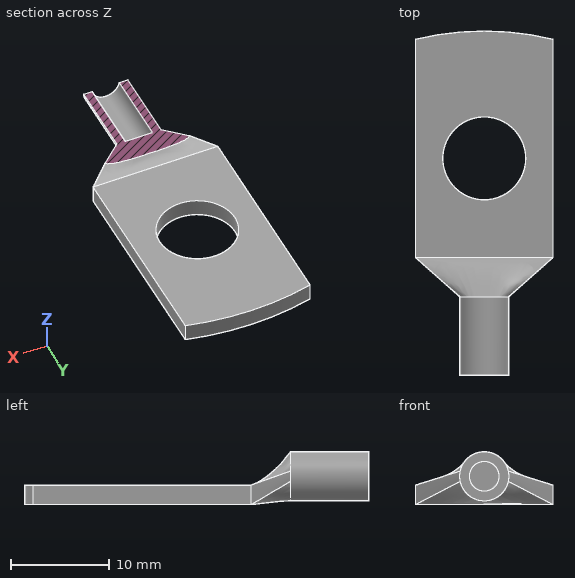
import cadquery as cq
import math

total_length = 35.0
width = 14.0
thickness = 2.0
total_height = 5.4
barrel_diameter = 5.0
bore_diameter = 3.0
barrel_length = 7.98
transition_length = 4.0
stud_hole_diameter = 8.4
stud_hole_from_barrel_end = 22.05
end_crown = 0.85
side_band_half_height = 0.52

points_per_side = 13
transition_steps = 4

barrel_radius = barrel_diameter / 2
barrel_axis_z = total_height - barrel_radius
barrel_end_y = -total_length / 2
barrel_root_y = barrel_end_y + barrel_length
plate_start_y = barrel_root_y + transition_length
plate_tip_y = total_length / 2
half_width = width / 2
stud_hole_y = barrel_end_y + stud_hole_from_barrel_end


def make_plate():
    """Flat tongue with a crowned tip and a stud hole."""
    shoulder_y = plate_tip_y - end_crown
    tongue = (
        cq.Workplane("XY")
        .moveTo(-half_width, plate_start_y)
        .lineTo(half_width, plate_start_y)
        .lineTo(half_width, shoulder_y)
        .threePointArc((0, plate_tip_y), (-half_width, shoulder_y))
        .close()
        .extrude(thickness)
    )
    hole = cq.Workplane("XY").center(0, stud_hole_y).circle(stud_hole_diameter / 2).extrude(thickness)
    return tongue.cut(hole)


def make_barrel():
    """Solid round barrel before boring."""
    return (
        cq.Workplane("XZ", origin=(0, barrel_end_y, barrel_axis_z))
        .circle(barrel_radius)
        .extrude(-barrel_length)
    )


def transition_outline(progress):
    """Closed cross-section of the transition; progress runs from 0 at the plate to 1 at the barrel."""
    y = plate_start_y - progress * transition_length
    band_angle = math.asin(side_band_half_height / barrel_radius)
    right, left = half_width, -half_width
    top_growth = progress**2
    sides = [
        ((right, thickness), (left, thickness), band_angle, math.pi - band_angle, top_growth),
        ((left, thickness), (left, 0), math.pi - band_angle, math.pi + band_angle, progress),
        ((left, 0), (right, 0), math.pi + band_angle, 2 * math.pi - band_angle, progress),
        ((right, 0), (right, thickness), -band_angle, band_angle, progress),
    ]
    edges = []
    for start, end, start_angle, end_angle, growth in sides:
        start_rim_z = barrel_axis_z + barrel_radius * math.sin(start_angle)
        points = []
        for i in range(points_per_side):
            along = i / (points_per_side - 1)
            angle = start_angle + along * (end_angle - start_angle)
            plate_x = start[0] + along * (end[0] - start[0])
            plate_z = start[1] + along * (end[1] - start[1])
            rim_x = barrel_radius * math.cos(angle)
            rim_z = barrel_axis_z + barrel_radius * math.sin(angle)
            x = plate_x + progress * (rim_x - plate_x)
            z = plate_z + progress * (start_rim_z - plate_z) + growth * (rim_z - start_rim_z)
            points.append(cq.Vector(x, y, z))
        edges.append(cq.Edge.makeSpline(points))
    return cq.Wire.assembleEdges(edges)


def make_transition():
    """Solid blending the rectangular plate end into the round barrel."""
    outlines = [transition_outline(i / transition_steps) for i in range(transition_steps + 1)]
    return cq.Workplane(cq.Solid.makeLoft(outlines))


def make_bore():
    """Wire bore, as deep as the barrel."""
    return (
        cq.Workplane("XZ", origin=(0, barrel_end_y, barrel_axis_z))
        .circle(bore_diameter / 2)
        .extrude(-barrel_length)
    )


result = make_plate().union(make_transition()).union(make_barrel()).cut(make_bore())